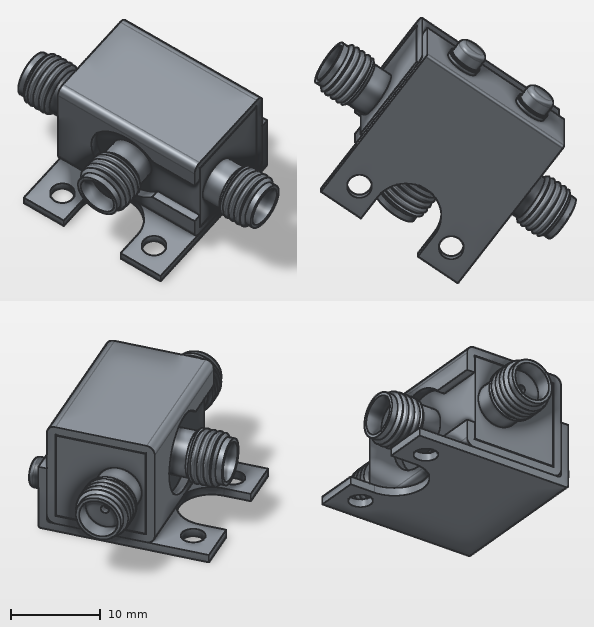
import cadquery as cq


overall_length = 32.0
port_length = 6.6
body_length = overall_length - 2 * port_length
sheet = 1.0

sleeve_size = 12.83
sleeve_corner_radius = 1.0
sleeve_bottom = sheet
axis_height = sleeve_bottom + sleeve_size / 2
axis_to_sleeve_front = 4.22
sleeve_front = -axis_to_sleeve_front
sleeve_back = sleeve_front + sleeve_size
sleeve_center_y = (sleeve_front + sleeve_back) / 2
bore_size = 10.8
sleeve_wall = (sleeve_size - bore_size) / 2
keyhole_diameter = 9.6
keyhole_slot_height = 6.4

core_gap = 0.1
core_size = bore_size - 2 * core_gap
core_front = sleeve_center_y - core_size / 2

barrel_radius = 2.7
thread_radius = 3.17
thread_root_radius = 2.85
end_ridge_radius = 3.1
thread_start = 0.77
first_peak = 1.15
first_crest = 1.8
thread_pitch = 0.77
full_ridges = 3
crest_width = 0.3
crest_edge_radius = 3.1
last_peak = 3.9
thread_end = 4.32
socket_diameter = 4.58
socket_depth = 2.05
contact_diameter = 0.95
contact_depth = 0.95

bracket_back = sleeve_back + sheet
bracket_depth = 20.3
bracket_front = bracket_back - bracket_depth
bracket_height = 8.1
inner_bend_radius = 0.45
outer_bend_radius = 0.32
mount_hole_diameter = 2.75
mount_hole_spacing = 12.6
mount_hole_setback = 3.05
port_notch_width = 7.8
port_notch_setback = 3.2

stud_spacing = 9.35
stud_height = 4.05
neck_radius = 1.92
flange_radius = 1.95
flange_length = 0.67
flange_lip = 0.22
cap_radius = 1.75
stud_length = 2.43
cap_round = 0.58


def make_sleeve():
    """Square tube along X with a keyhole slot open to its +X end."""
    center = (0, sleeve_center_y, axis_height)
    tube = (
        cq.Workplane("XY")
        .box(body_length, sleeve_size, sleeve_size)
        .edges("|X")
        .fillet(sleeve_corner_radius)
        .cut(cq.Workplane("XY").box(body_length, bore_size, bore_size))
        .translate(center)
    )
    front_plane = cq.Workplane("XZ", origin=(0, sleeve_front, axis_height))
    round_end = front_plane.circle(keyhole_diameter / 2).extrude(-sleeve_wall)
    slot = (
        front_plane.center(body_length / 4, 0)
        .rect(body_length / 2, keyhole_slot_height)
        .extrude(-sleeve_wall)
    )
    return tube.cut(round_end).cut(slot)


def make_port():
    """Threaded socket along +Z, from its base at the origin to its open end."""
    def station(distance_from_end):
        return port_length - distance_from_end

    profile = (
        cq.Workplane("XZ")
        .moveTo(0, port_length)
        .lineTo(barrel_radius, port_length)
        .lineTo(barrel_radius, station(thread_start))
        .lineTo(end_ridge_radius, station(first_peak))
    )
    for ridge in range(full_ridges):
        crest = first_crest + ridge * thread_pitch
        profile = (
            profile.lineTo(thread_root_radius, station(crest - thread_pitch / 2))
            .lineTo(crest_edge_radius, station(crest - crest_width / 2))
            .threePointArc(
                (thread_radius, station(crest)),
                (crest_edge_radius, station(crest + crest_width / 2)),
            )
        )
    last_crest = first_crest + (full_ridges - 1) * thread_pitch
    profile = (
        profile.lineTo(thread_root_radius, station(last_crest + thread_pitch / 2))
        .lineTo(end_ridge_radius, station(last_peak))
        .lineTo(barrel_radius, station(thread_end))
        .lineTo(barrel_radius, 0)
        .lineTo(0, 0)
        .close()
    )
    barrel = profile.revolve(360, (0, 0, 0), (0, 1, 0))
    end_plane = cq.Workplane("XY", origin=(0, 0, port_length))
    socket = end_plane.circle(socket_diameter / 2).extrude(-socket_depth)
    contact_hole = end_plane.circle(contact_diameter / 2).extrude(-(socket_depth + contact_depth))
    return barrel.cut(socket).cut(contact_hole)


def make_core():
    """Block inside the sleeve with ports on its -X, +X and -Y faces."""
    block = cq.Workplane("XY").box(body_length, core_size, core_size)
    core = block.translate((0, sleeve_center_y, axis_height))
    port = make_port()
    for side in (-1, 1):
        end_port = port.rotate((0, 0, 0), (0, 1, 0), side * 90)
        core = core.union(end_port.translate((side * body_length / 2, 0, axis_height)))
    front_port = port.rotate((0, 0, 0), (1, 0, 0), 90)
    return core.union(front_port.translate((0, core_front, axis_height)))


def make_bracket():
    """L-shaped plate with a round-ended notch under the front port."""
    bracket = (
        cq.Workplane("YZ", origin=(-body_length / 2, 0, 0))
        .moveTo(bracket_front, 0)
        .lineTo(bracket_back, 0)
        .lineTo(bracket_back, bracket_height)
        .lineTo(sleeve_back, bracket_height)
        .lineTo(sleeve_back, sheet)
        .lineTo(bracket_front, sheet)
        .close()
        .extrude(body_length)
    )
    bracket = bracket.edges("|X and <Z and >Y").fillet(outer_bend_radius)
    inner_corner = cq.selectors.NearestToPointSelector((0, sleeve_back, sheet))
    bracket = bracket.edges(inner_corner).fillet(inner_bend_radius)

    hole_y = bracket_front + mount_hole_setback
    holes = (
        cq.Workplane("XY")
        .pushPoints([(-mount_hole_spacing / 2, hole_y), (mount_hole_spacing / 2, hole_y)])
        .circle(mount_hole_diameter / 2)
        .extrude(sheet)
    )
    half_notch = port_notch_width / 2
    notch_y = bracket_front + port_notch_setback
    notch = (
        cq.Workplane("XY")
        .moveTo(-half_notch, bracket_front)
        .lineTo(-half_notch, notch_y)
        .threePointArc((0, notch_y + half_notch), (half_notch, notch_y))
        .lineTo(half_notch, bracket_front)
        .close()
        .extrude(sheet)
    )
    return bracket.cut(holes).cut(notch)


def make_stud(x):
    """Flanged cap with a rounded tip, standing on the back of the bracket."""
    back_plane = cq.Workplane("XZ", origin=(x, bracket_back, stud_height))
    neck = back_plane.circle(neck_radius).extrude(-flange_length)
    lip_plane = back_plane.workplane(offset=-(flange_length - flange_lip))
    lip = lip_plane.circle(flange_radius).extrude(-flange_lip)
    cap = back_plane.circle(cap_radius).extrude(-stud_length).faces(">Y").edges().fillet(cap_round)
    return neck.union(lip).union(cap)


sleeve = make_sleeve()
core = make_core()
bracket = make_bracket()
studs = [make_stud(side * stud_spacing / 2) for side in (-1, 1)]

bodies = [sleeve, core, bracket, *studs]

result = cq.Compound.makeCompound([body.solids().val() for body in bodies])